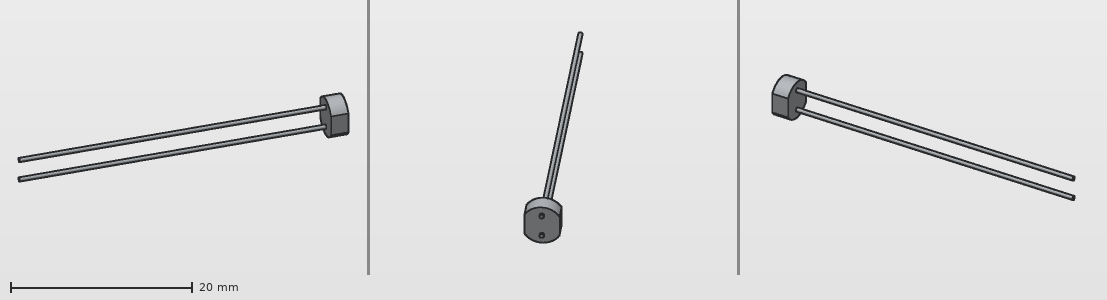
import cadquery as cq

BODY_DIAMETER = 4.62
BODY_WIDTH = 3.91
BODY_LENGTH = 2.032

LEAD_DIAMETER = 0.508
LEAD_PITCH = 2.54
LEAD_LENGTH = 35.56
LEAD_STUB = 0.254

LEAD_TIP_Y = -LEAD_LENGTH
STUB_TIP_Y = BODY_LENGTH + LEAD_STUB


def rod_along_y(diameter, start_y, end_y, center_z=0):
    """Round rod parallel to Y, centred on X = 0."""
    return (
        cq.Workplane("XZ", origin=(0, end_y, center_z))
        .circle(diameter / 2)
        .extrude(end_y - start_y)
    )


def make_body():
    """Disc trimmed to the body width by two parallel flats."""
    disc = rod_along_y(BODY_DIAMETER, 0, BODY_LENGTH)
    flats = cq.Workplane("XY").box(BODY_WIDTH, BODY_LENGTH, BODY_DIAMETER, centered=(True, False, True))
    return disc.intersect(flats)


def make_lead(side):
    """Wire through the body, ending in a short stub behind it; side is +1 (upper) or -1 (lower)."""
    return rod_along_y(LEAD_DIAMETER, LEAD_TIP_Y, STUB_TIP_Y, side * LEAD_PITCH / 2)


result = make_body()
for lead_side in (-1, 1):
    result = result.union(make_lead(lead_side))